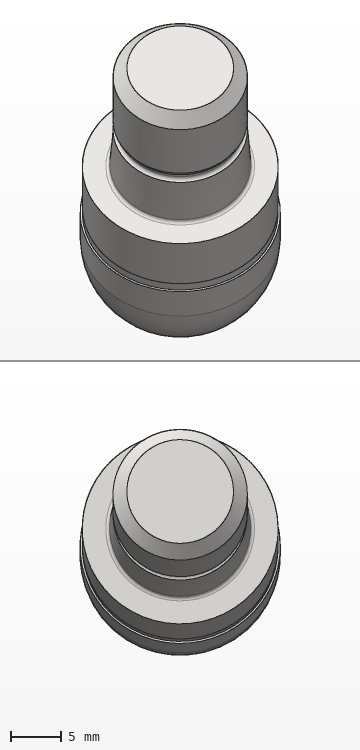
import cadquery as cq
import math

TOTAL_HEIGHT = 37.5
DOME_RADIUS = TOTAL_HEIGHT * 4 / 15
CAP_TOP = 14.0
JOINT_HEIGHT = 15.0
COLLAR_TOP = 21.52
COLLAR_RADIUS = 9.8

FOOT_FILLET = 0.38
NECK_BOTTOM_RADIUS = 7.05
NECK_TOP_RADIUS = 6.7
NECK_TOP = 27.52

GROOVE_RADIUS = 6.3
GROOVE_FILLET = 0.4
GROOVE_TOP = 28.25
HEAD_RADIUS = 6.7
HEAD_BOTTOM = 29.02
HEAD_CHAMFER = 1.4

DIAGONAL = math.sqrt(0.5)


def revolve_profile(profile):
    """Turn a closed (radius, height) outline around the Z axis."""
    return profile.close().revolve(360, (0, 0, 0), (0, 1, 0))


def make_tip():
    """Hemispherical cap with a short cylinder and a narrower seat above it."""
    dome_middle = (DOME_RADIUS * DIAGONAL, DOME_RADIUS * (1 - DIAGONAL))
    return revolve_profile(
        cq.Workplane("XZ")
        .moveTo(0, 0)
        .threePointArc(dome_middle, (DOME_RADIUS, DOME_RADIUS))
        .lineTo(DOME_RADIUS, CAP_TOP)
        .lineTo(COLLAR_RADIUS, CAP_TOP)
        .lineTo(COLLAR_RADIUS, JOINT_HEIGHT)
        .lineTo(0, JOINT_HEIGHT)
    )


def make_shank():
    """Collar, tapered neck, relief groove and chamfered head."""
    foot_height = COLLAR_TOP + FOOT_FILLET
    foot_radius = NECK_BOTTOM_RADIUS + FOOT_FILLET
    foot_middle = (
        foot_radius - FOOT_FILLET * DIAGONAL,
        foot_height - FOOT_FILLET * DIAGONAL,
    )
    groove_fillet_radius = GROOVE_RADIUS + GROOVE_FILLET
    groove_fillet_height = NECK_TOP + GROOVE_FILLET
    groove_middle = (
        groove_fillet_radius - GROOVE_FILLET * DIAGONAL,
        groove_fillet_height - GROOVE_FILLET * DIAGONAL,
    )
    return revolve_profile(
        cq.Workplane("XZ")
        .moveTo(0, JOINT_HEIGHT)
        .lineTo(COLLAR_RADIUS, JOINT_HEIGHT)
        .lineTo(COLLAR_RADIUS, COLLAR_TOP)
        .lineTo(foot_radius, COLLAR_TOP)
        .threePointArc(foot_middle, (NECK_BOTTOM_RADIUS, foot_height))
        .lineTo(NECK_TOP_RADIUS, NECK_TOP)
        .threePointArc(groove_middle, (GROOVE_RADIUS, groove_fillet_height))
        .lineTo(GROOVE_RADIUS, GROOVE_TOP)
        .lineTo(HEAD_RADIUS, HEAD_BOTTOM)
        .lineTo(HEAD_RADIUS, TOTAL_HEIGHT - HEAD_CHAMFER)
        .lineTo(HEAD_RADIUS - HEAD_CHAMFER, TOTAL_HEIGHT)
        .lineTo(0, TOTAL_HEIGHT)
    )


tip = make_tip()
shank = make_shank()

result = cq.Compound.makeCompound([tip.val(), shank.val()])